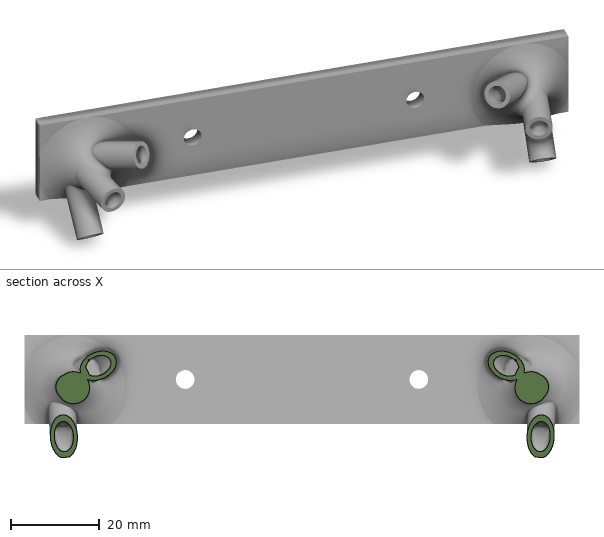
import cadquery as cq

PLATE_THICKNESS = 3.2
PLATE_LENGTH = 125.0
PLATE_HEIGHT = 20.0

MOUNT_HOLE_DIAMETER = 4.2
MOUNT_HOLE_SPACING = 52.6

TUBE_DIAMETER = 6.2
TUBE_BORE_DIAMETER = 4.2
TUBE_BORE_DEPTH = 8.0

TUBE_ROOT = cq.Vector(0.5, -54.35, -0.9)
TUBE_TIPS = [
    cq.Vector(19.46, -50.35, -2.45),
    cq.Vector(14.5, -42.05, 5.0),
    cq.Vector(12.4, -53.5, -15.66),
]

FOOT_CENTRE_Y = -51.5
FOOT_CENTRE_Z = -1.8
FOOT_BASE_RADIUS = 11.8
FOOT_MID_RADIUS = 6.0
FOOT_MID_X = 6.4
FOOT_TIP_RADIUS = 2.9
FOOT_TIP_X = 13.8


def make_plate():
    plate = cq.Workplane("XY").box(
        PLATE_THICKNESS, PLATE_LENGTH, PLATE_HEIGHT, centered=(False, True, True)
    )
    half_spacing = MOUNT_HOLE_SPACING / 2
    holes = (
        cq.Workplane("YZ")
        .pushPoints([(-half_spacing, 0), (half_spacing, 0)])
        .circle(MOUNT_HOLE_DIAMETER / 2)
        .extrude(PLATE_THICKNESS)
    )
    return plate.cut(holes)


def make_foot():
    """Concave horn, trimmed flush with the plate's outline."""
    horn = (
        cq.Workplane("XY", origin=(0, FOOT_CENTRE_Y, FOOT_CENTRE_Z))
        .moveTo(PLATE_THICKNESS, 0)
        .lineTo(PLATE_THICKNESS, FOOT_BASE_RADIUS)
        .threePointArc((FOOT_MID_X, FOOT_MID_RADIUS), (FOOT_TIP_X, FOOT_TIP_RADIUS))
        .lineTo(FOOT_TIP_X, 0)
        .close()
        .revolve(360, (0, 0, 0), (1, 0, 0))
    )
    plate_outline = cq.Workplane("YZ").rect(PLATE_LENGTH, PLATE_HEIGHT).extrude(FOOT_TIP_X)
    return horn.intersect(plate_outline)


def make_tube(tip):
    axis = tip - TUBE_ROOT
    return cq.Workplane(cq.Solid.makeCylinder(TUBE_DIAMETER / 2, axis.Length, TUBE_ROOT, axis))


def make_bore(tip):
    inward = TUBE_ROOT - tip
    return cq.Workplane(
        cq.Solid.makeCylinder(TUBE_BORE_DIAMETER / 2, TUBE_BORE_DEPTH, tip, inward)
    )


def make_cluster():
    cluster = make_foot()
    for tip in TUBE_TIPS:
        cluster = cluster.union(make_tube(tip))
    for tip in TUBE_TIPS:
        cluster = cluster.cut(make_bore(tip))
    root_trim = cq.Workplane("XY").box(
        2 * PLATE_THICKNESS, 2 * PLATE_LENGTH, 2 * PLATE_HEIGHT
    )
    return cluster.cut(root_trim)


cluster = make_cluster()
result = make_plate().union(cluster).union(cluster.mirror("XZ"))